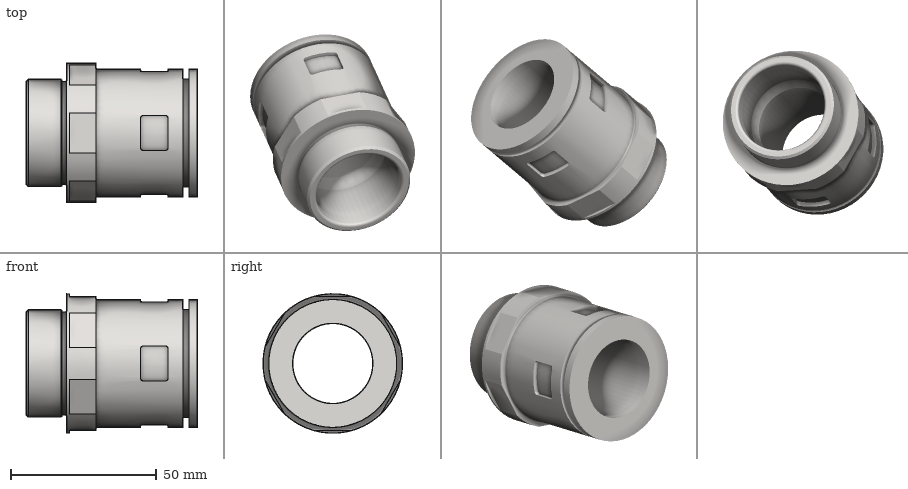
import cadquery as cq
import math

spigot_end = 12.0
flange_start = 14.0
flats_start = 15.0
flange_end = 24.0
groove_start = 54.0
groove_end = 56.0
total_length = 59.0

spigot_radius = 37.0 / 2
neck_radius = 35.5 / 2
flange_radius = 48.0 / 2
body_radius = 44.0 / 2
groove_radius = 37.3 / 2

lead_chamfer = 0.8
back_chamfer = 0.3
neck_front_fillet = 0.3
neck_back_fillet = 0.5
body_fillet = 0.5

entry_radius = 30.5 / 2
throat_radius = 27.5 / 2
entry_fillet = 1.0
taper_start = 19.35
taper_angle = math.radians(16.0)
taper_blend = 0.7

flat_count = 6
across_flats = 46.0

window_count = 4
window_start = 39.4
window_length = 9.5
window_width = 12.0
window_corner = 1.0
window_floor_radius = 41.0 / 2

extent = 2 * flange_radius


def make_body():
    """Revolve the whole turned profile, bore included, about the X axis."""
    arc = math.sqrt(0.5)
    neck_start = spigot_end + back_chamfer
    front_shoulder = neck_radius + neck_front_fillet
    back_shoulder = neck_radius + neck_back_fillet
    blend_length = taper_blend * math.sin(taper_angle)
    blend_drop = taper_blend * (1 - math.cos(taper_angle))
    cone_start = taper_start + blend_length
    cone_radius = entry_radius - blend_drop
    cone_length = (cone_radius - throat_radius) / math.tan(taper_angle)
    profile = (
        cq.Workplane("XY")
        .moveTo(0, entry_radius + entry_fillet)
        .lineTo(0, spigot_radius - lead_chamfer)
        .lineTo(lead_chamfer, spigot_radius)
        .lineTo(spigot_end, spigot_radius)
        .lineTo(neck_start, spigot_radius - back_chamfer)
        .lineTo(neck_start, front_shoulder)
        .threePointArc(
            (neck_start + neck_front_fillet * (1 - arc), front_shoulder - neck_front_fillet * arc),
            (neck_start + neck_front_fillet, neck_radius),
        )
        .lineTo(flange_start - neck_back_fillet, neck_radius)
        .threePointArc(
            (flange_start - neck_back_fillet * (1 - arc), back_shoulder - neck_back_fillet * arc),
            (flange_start, back_shoulder),
        )
        .lineTo(flange_start, flange_radius)
        .lineTo(flange_end, flange_radius)
        .lineTo(flange_end, body_radius + body_fillet)
        .threePointArc(
            (flange_end + body_fillet * (1 - arc), body_radius + body_fillet * (1 - arc)),
            (flange_end + body_fillet, body_radius),
        )
        .lineTo(groove_start, body_radius)
        .lineTo(groove_start, groove_radius)
        .lineTo(groove_end, groove_radius)
        .lineTo(groove_end, body_radius)
        .lineTo(total_length, body_radius)
        .lineTo(total_length, throat_radius)
        .lineTo(cone_start + cone_length, throat_radius)
        .lineTo(cone_start, cone_radius)
        .threePointArc(
            (
                taper_start + taper_blend * math.sin(taper_angle / 2),
                entry_radius - taper_blend * (1 - math.cos(taper_angle / 2)),
            ),
            (taper_start, entry_radius),
        )
        .lineTo(entry_fillet, entry_radius)
        .threePointArc(
            (entry_fillet * (1 - arc), entry_radius + entry_fillet * (1 - arc)),
            (0, entry_radius + entry_fillet),
        )
        .close()
    )
    return profile.revolve(360, (0, 0, 0), (1, 0, 0))


def cut_wrench_flats(part):
    """Mill six flats into the flange, leaving a full-round rim in front of them."""
    depth = flange_radius - across_flats / 2
    cutter = cq.Workplane("XY").box(
        flange_end - flats_start, extent, depth, centered=(False, True, False)
    ).translate((flats_start, 0, across_flats / 2))
    for index in range(flat_count):
        part = part.cut(cutter.rotate((0, 0, 0), (1, 0, 0), index * 360 / flat_count))
    return part


def cut_latch_windows(part):
    """Sink four rounded pockets into the body, each with a floor concentric with it."""
    pocket = (
        cq.Workplane("XY")
        .box(window_length, window_width, extent, centered=(False, True, False))
        .edges("|Z")
        .fillet(window_corner)
        .translate((window_start, 0, 0))
    )
    core = cq.Workplane("YZ").circle(window_floor_radius).extrude(total_length)
    cutter = pocket.cut(core)
    for index in range(window_count):
        part = part.cut(cutter.rotate((0, 0, 0), (1, 0, 0), index * 360 / window_count))
    return part


result = cut_latch_windows(cut_wrench_flats(make_body()))